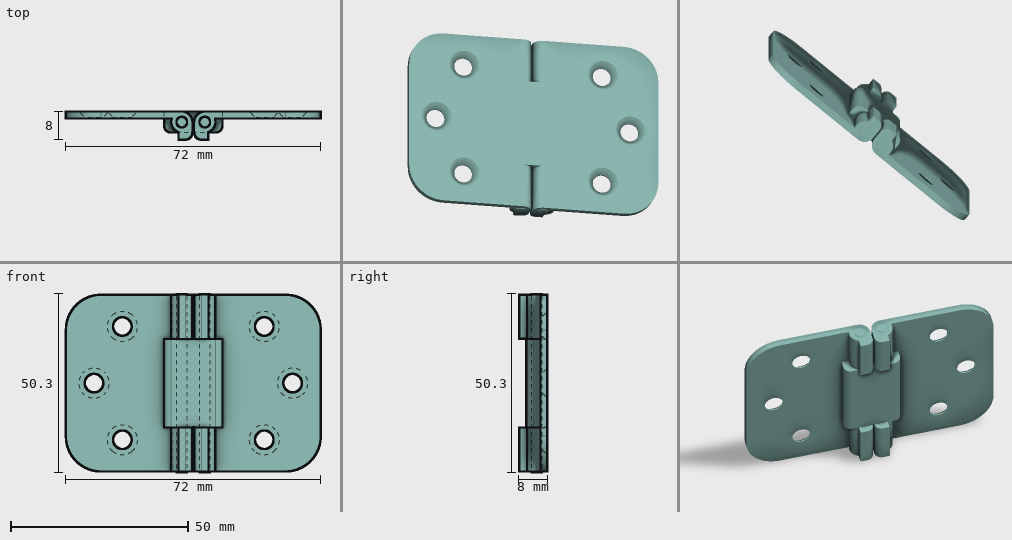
import cadquery as cq
import math

WIDTH = 72.0
DEPTH = 8.0
LEAF_HEIGHT = 50.0
PIN_PROJECTION = 0.165

SHEET = DEPTH / 4
CORNER_RADIUS = 10.0
LEAF_GAP = 0.5

HOLE_DIAMETER = 5.2
SINK_DIAMETER = 8.5
SINK_DEPTH = 1.65
INNER_HOLE_X = 20.0
INNER_HOLE_Z = 16.0
OUTER_HOLE_X = 28.0

BARREL_RADIUS = 1.5 * SHEET
TOOTH_WIDTH = 2 * SHEET
TOOTH_RADIUS = SHEET
PIN_DIAMETER = 3.0

LINK_WIDTH = 16.5
LINK_DEPTH = 3 * SHEET
LINK_HEIGHT = 25.0
LINK_RADIUS = SHEET

INNER_EDGE_X = LEAF_GAP / 2
PIN_X = INNER_EDGE_X + BARREL_RADIUS
PIN_Y = -BARREL_RADIUS
TOOTH_X = INNER_EDGE_X + TOOTH_WIDTH
TOOTH_TOP_Y = PIN_Y - math.sqrt(BARREL_RADIUS**2 - (TOOTH_X - PIN_X) ** 2)
PIN_LENGTH = LEAF_HEIGHT + 2 * PIN_PROJECTION
SIDES = (-1, 1)


def pin_cylinder(side):
    """Cylinder along Z on the pin axis of one side."""
    return (
        cq.Workplane("XY")
        .center(side * PIN_X, PIN_Y)
        .circle(PIN_DIAMETER / 2)
        .extrude(PIN_LENGTH / 2, both=True)
    )


def leaf_notch():
    """Opening through the full depth of the leaves that receives the link."""
    return (
        cq.Workplane("XY")
        .box(LINK_WIDTH, DEPTH, LINK_HEIGHT)
        .translate((0, -DEPTH / 2, 0))
    )


def make_plate():
    """Flat plate of the +X leaf, with rounded outer corners."""
    length = WIDTH / 2 - PIN_X
    return (
        cq.Workplane("XY")
        .box(length, SHEET, LEAF_HEIGHT)
        .translate((PIN_X + length / 2, -SHEET / 2, 0))
        .edges("|Y and >X")
        .fillet(CORNER_RADIUS)
    )


def make_knuckle():
    """Barrel and tooth of the +X leaf, running its full height."""
    barrel = (
        cq.Workplane("XY")
        .center(PIN_X, PIN_Y)
        .circle(BARREL_RADIUS)
        .extrude(LEAF_HEIGHT / 2, both=True)
    )
    tooth = (
        cq.Workplane("XY")
        .moveTo(INNER_EDGE_X, PIN_Y)
        .lineTo(INNER_EDGE_X, TOOTH_RADIUS - DEPTH)
        .radiusArc((INNER_EDGE_X + TOOTH_RADIUS, -DEPTH), -TOOTH_RADIUS)
        .lineTo(TOOTH_X, -DEPTH)
        .lineTo(TOOTH_X, TOOTH_TOP_Y)
        .lineTo(PIN_X, PIN_Y)
        .close()
        .extrude(LEAF_HEIGHT / 2, both=True)
    )
    return barrel.union(tooth)


def screw_holes():
    """Cutters for the +X leaf: three holes countersunk from the plate back."""
    centres = [
        (INNER_HOLE_X, INNER_HOLE_Z),
        (OUTER_HOLE_X, 0),
        (INNER_HOLE_X, -INNER_HOLE_Z),
    ]
    cutters = (
        cq.Workplane("XZ")
        .pushPoints(centres)
        .circle(HOLE_DIAMETER / 2)
        .extrude(SHEET)
    )
    sink = cq.Solid.makeCone(
        SINK_DIAMETER / 2, HOLE_DIAMETER / 2, SINK_DEPTH, dir=cq.Vector(0, -1, 0)
    )
    for x, z in centres:
        cutters = cutters.union(cq.Workplane(sink.translate(cq.Vector(x, 0, z))))
    return cutters


def make_leaf(side):
    """One leaf; the -X leaf is the mirror image of the +X leaf."""
    leaf = make_plate().union(make_knuckle()).cut(screw_holes())
    leaf = leaf.cut(leaf_notch()).cut(pin_cylinder(1))
    if side < 0:
        leaf = leaf.mirror("YZ")
    return leaf


def make_link():
    """Link with rounded front edges, bored for both pins."""
    link = (
        cq.Workplane("XY")
        .box(LINK_WIDTH, LINK_DEPTH, LINK_HEIGHT)
        .translate((0, -LINK_DEPTH / 2, 0))
        .edges("|Z and <Y")
        .fillet(LINK_RADIUS)
    )
    for side in SIDES:
        link = link.cut(pin_cylinder(side))
    return link


leaves = [make_leaf(side).val() for side in SIDES]
pins = [pin_cylinder(side).val() for side in SIDES]
link = make_link()

result = cq.Compound.makeCompound([*leaves, *pins, link.val()])